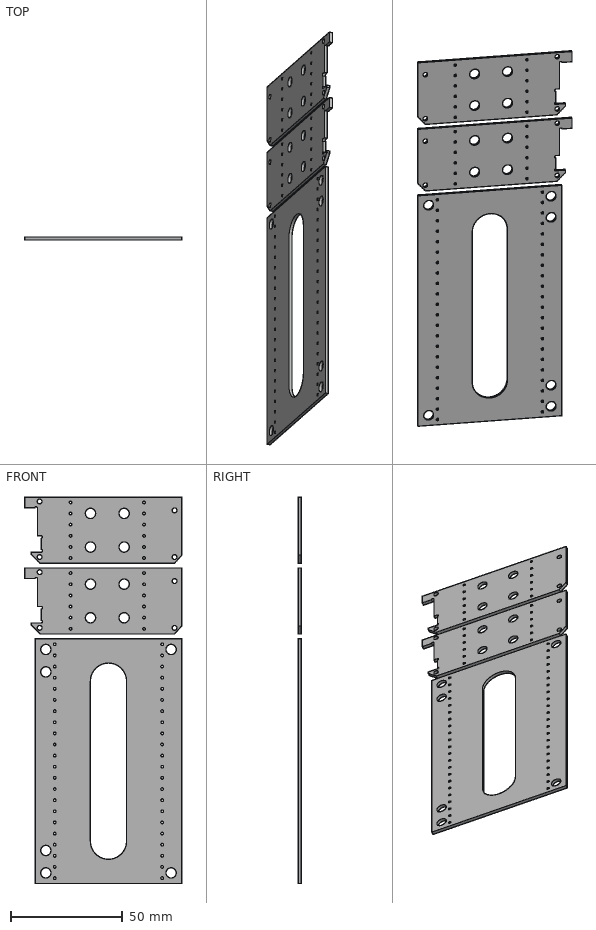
import cadquery as cq

overall_width = 70.5
overall_height = 173.4
thickness = 1.5

base_width = 65.9
base_height = 110.0
base_fold_inset = 8.8
base_hole_diameter = 4.5
base_hole_inset = 4.9
base_hole_pitch = 10.0
window_width = 16.1
window_length = 88.0

bracket_count = 2
plate_gap = 2.0
bracket_height = (overall_height - base_height) / bracket_count - plate_gap
chamfer_width = 3.3
chamfer_height = 3.6
hook_depth = 4.9
edge_inset = 64.9
notch_inset = 63.1
notch_top_depth = 17.3
notch_bottom_depth = 24.6
toe_reach = 67.6
toe_run = 4.0
mount_hole_diameter = 4.5
mount_hole_pitch = 15.0
bracket_center_inset = 33.5
bracket_fold_spacing = 33.0
pin_hole_diameter = 2.0
pin_hole_left = 63.8
pin_hole_right = 3.3
pin_hole_top_depth = 1.9
pin_hole_side_depth = 5.9
pin_hole_bottom_depth = 26.9
relief_diameter = 1.1

fold_width = 1.0
perforation_diameter = 1.1
perforation_pitch = 5.0
base_perforations = 22
bracket_perforations = 6


def front_plane():
    """Sketch plane on the front face: local x is X, local y is Z; negative lengths go to +Y."""
    return cq.Workplane("XZ")


def through_holes(points, diameter):
    """Round cutters that pass through the plate thickness."""
    return front_plane().pushPoints(points).circle(diameter / 2).extrude(-thickness)


def add_fold_lines(plate, fold_positions, z_bottom, height, perforations):
    """Perforate the upright fold strips and keep them as separate faces, flush with the rest of the plate."""
    z_middle = z_bottom + height / 2
    first_z = z_middle - (perforations - 1) * perforation_pitch / 2
    rows = [first_z + i * perforation_pitch for i in range(perforations)]
    perforation_points = [(x, z) for x in fold_positions for z in rows]
    plate = plate.cut(through_holes(perforation_points, perforation_diameter))

    strip_centers = [(x, z_middle) for x in fold_positions]
    strip_blocks = front_plane().pushPoints(strip_centers).rect(fold_width, height).extrude(-thickness)
    strips = plate.intersect(strip_blocks)
    return plate.cut(strip_blocks).union(strips, clean=False)


def make_base_plate():
    """Large plate with a long round-ended window, six holes and two fold lines."""
    middle = (-base_width / 2, base_height / 2)
    plate = front_plane().center(*middle).rect(base_width, base_height).extrude(-thickness)
    window = front_plane().center(*middle).slot2D(window_length, window_width, 90).extrude(-thickness)
    left = base_hole_inset - base_width
    right = -base_hole_inset
    low = base_hole_inset
    high = base_height - base_hole_inset
    points = [
        (left, low),
        (left, low + base_hole_pitch),
        (left, high - base_hole_pitch),
        (left, high),
        (right, low),
        (right, high),
    ]
    plate = plate.cut(window).cut(through_holes(points, base_hole_diameter))
    fold_positions = [base_fold_inset - base_width, -base_fold_inset]
    return add_fold_lines(plate, fold_positions, 0, base_height, base_perforations)


def make_bracket_plate(z_bottom):
    """Small plate with a hook and a toe on its left edge, holes and two fold lines."""
    top = z_bottom + bracket_height
    notch_top = top - notch_top_depth
    notch_bottom = top - notch_bottom_depth
    outline = [
        (0, top),
        (-overall_width, top),
        (-overall_width, top - hook_depth),
        (-edge_inset, top - hook_depth),
        (-edge_inset, notch_top),
        (-notch_inset, notch_top),
        (-notch_inset, notch_bottom),
        (-toe_reach, notch_bottom),
        (-toe_reach, z_bottom + toe_run),
        (-toe_reach + toe_run, z_bottom),
        (-chamfer_width, z_bottom),
        (0, z_bottom + chamfer_height),
    ]
    plate = front_plane().polyline(outline).close().extrude(-thickness)

    relief_radius = relief_diameter / 2
    reliefs = [
        (-edge_inset - relief_radius, top - hook_depth),
        (-notch_inset, notch_top - relief_radius),
        (-notch_inset, notch_bottom + relief_radius),
    ]
    plate = plate.cut(through_holes(reliefs, relief_diameter))

    pin_holes = [
        (-pin_hole_left, top - pin_hole_top_depth),
        (-pin_hole_left, top - pin_hole_bottom_depth),
        (-pin_hole_right, top - pin_hole_side_depth),
        (-pin_hole_right, top - pin_hole_bottom_depth),
    ]
    plate = plate.cut(through_holes(pin_holes, pin_hole_diameter))

    z_middle = z_bottom + bracket_height / 2
    mount_holes = (
        front_plane()
        .center(-bracket_center_inset, z_middle)
        .rarray(mount_hole_pitch, mount_hole_pitch, 2, 2)
        .circle(mount_hole_diameter / 2)
        .extrude(-thickness)
    )
    plate = plate.cut(mount_holes)

    fold_positions = [-bracket_center_inset + side * bracket_fold_spacing / 2 for side in (-1, 1)]
    return add_fold_lines(plate, fold_positions, z_bottom, bracket_height, bracket_perforations)


base_plate = make_base_plate()
bracket_plates = []
for i in range(bracket_count):
    bracket_bottom = base_height + plate_gap + i * (bracket_height + plate_gap)
    bracket_plates.append(make_bracket_plate(bracket_bottom))

result = cq.Compound.makeCompound([base_plate.val(), *[plate.val() for plate in bracket_plates]])